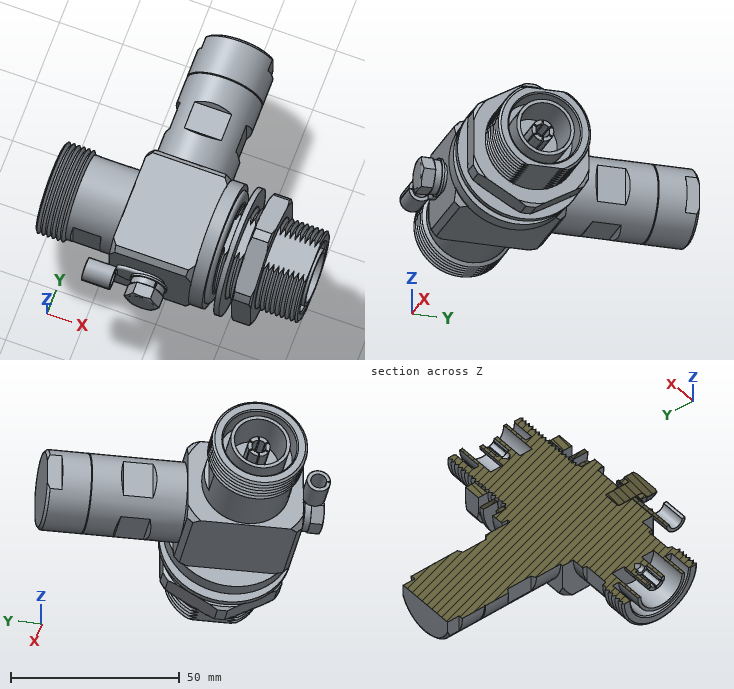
import cadquery as cq
import math


BLOCK_X_MIN = -13.0
BLOCK_X_MAX = 12.85
BLOCK_HALF_Y = 17.3
BLOCK_HALF_Z = 13.8
BLOCK_EDGE_CHAMFER = 1.7
BLOCK_TURNED_RADIUS = 19.35
FLANGE_RADIUS = 19.5
FLANGE_X_MAX = 17.15

THREAD_RADIUS = 14.4
THREAD_ROOT_RADIUS = 13.3
TEN_THREAD_LENGTH = 15.6
THREAD_PITCH = TEN_THREAD_LENGTH / 10
END_TO_CREST = 0.5

LEFT_RIM_X = -37.4
RIGHT_RIM_X = 45.0
TUBE_PROJECTION = 0.55
TUBE_RADIUS = 8.95
TUBE_BORE_RADIUS = 7.85
TUBE_BORE_DEPTH = 12.7
SOCKET_RADIUS = 11.15
SOCKET_MOUTH_CHAMFER = 0.4
SOCKET_DEPTH = 8.45
PIN_RADIUS = 3.4
PIN_RECESS = 2.0
PIN_BORE_RADIUS = 2.1
PIN_BORE_DEPTH = 6.8
PIN_PILOT_RADIUS = 1.3
PIN_PILOT_DEPTH = 1.7
PIN_SLOTS = 6
PIN_SLOT_WIDTH = 0.4
LEFT_CREST_COUNT = 6
RIGHT_CREST_COUNT = 17
LEFT_FLAT_X_MIN = -26.4
LEFT_FLAT_X_MAX = -17.7
LEFT_FLAT_DISTANCE = 11.9
LEFT_FLAT_RUNOUTS = (0.4, 0.25)
RIGHT_FLAT_DISTANCE = 12.4

ARM_RADIUS = 12.0
ARM_END_Y = 59.2
ARM_END_CHAMFER = 0.85
ARM_FLAT_DISTANCE = 10.5
ARM_FLAT_Y_MIN = 27.5
ARM_FLAT_Y_MAX = 36.25
ARM_FLAT_RUNOUTS = (0.9, 0.9)
ARM_END_FLAT_Y = 54.8
ARM_GROOVE_Y = 46.05
ARM_GROOVE_WIDTH = 0.25
ARM_GROOVE_DEPTH = 0.25

GASKET_X_MAX = 18.4
GASKET_RADIUS = 17.75
GASKET_FILLET = 1.2
PANEL_WASHER_X_MIN = 20.95
PANEL_WASHER_X_MAX = 22.6
PANEL_WASHER_DIAMETER = 40.0
PANEL_WASHER_CLEARANCE = 0.2
NUT_X_MIN = 25.8
NUT_X_MAX = 31.85
NUT_ACROSS_FLATS = 35.8
NUT_CORNER_RADIUS = 19.85
NUT_CHAMFER_LENGTH = 0.5
NUT_CHAMFER_HEIGHT = 1.1

LUG_THICKNESS = 1.2
LUG_EDGE_FILLET = 0.55
LUG_EYE_RADIUS = 4.5
LUG_TAPER_X = -6.9
LUG_TAPER_HALF_WIDTH = 4.0
LUG_NECK_HALF_WIDTH = 2.5
LUG_ARC_MID_X = -8.9
LUG_ARC_MID_HALF_WIDTH = 3.5
LUG_GUSSET_SIZE = 0.6
LUG_GUSSET_HALF_WIDTH = 1.7
BARREL_RADIUS = 3.55
BARREL_BORE_RADIUS = 2.4
BARREL_X_MIN = -19.2
BARREL_X_MAX = -10.5
BARREL_SEAM_WIDTH = 0.25
FLAT_WASHER_RADIUS = 5.75
FLAT_WASHER_THICKNESS = 0.7
SPRING_WASHER_RADIUS = 5.2
SPRING_WASHER_THICKNESS = 2.0
SPRING_SPLIT_X = 2.6
SPRING_SPLIT_WIDTH = 0.4
BOLT_ACROSS_FLATS = 9.6
BOLT_FACE_RADIUS = 4.2
BOLT_CHAMFER_HEIGHT = 0.4
BOLT_END_Y = -25.3
BOLT_SHANK_RADIUS = 2.95
BOLT_SHANK_DEPTH = 5.1

BLOCK_FACE_Y = -BLOCK_HALF_Y
LUG_FACE_Y = BLOCK_FACE_Y - LUG_THICKNESS
FLAT_WASHER_FACE_Y = LUG_FACE_Y - FLAT_WASHER_THICKNESS
BOLT_HEAD_Y = FLAT_WASHER_FACE_Y - SPRING_WASHER_THICKNESS


def x_cylinder(radius, x_from, x_to):
    """Cylinder on the X axis."""
    return cq.Workplane("YZ", origin=(x_from, 0, 0)).circle(radius).extrude(x_to - x_from)


def y_cylinder(radius, y_from, y_to):
    """Cylinder on the Y axis."""
    return cq.Workplane("XZ", origin=(0, y_from, 0)).circle(radius).extrude(y_from - y_to)


def box_between(low, high):
    """Box between two opposite corners."""
    size = [b - a for a, b in zip(low, high)]
    return cq.Workplane("XY").box(*size, centered=False).translate(low)


def revolve_about_x(profile):
    """Solid of revolution about X from (x, radius) points."""
    return cq.Workplane("XY").polyline(profile).close().revolve(360, (0, 0, 0), (1, 0, 0))


def thread_groove(x_mid):
    """Ring that cuts one V-shaped thread groove, with x_mid at its middle."""
    half_pitch = THREAD_PITCH / 2
    beyond = THREAD_RADIUS + THREAD_PITCH
    return revolve_about_x([
        (x_mid, THREAD_ROOT_RADIUS),
        (x_mid + half_pitch, THREAD_RADIUS),
        (x_mid + half_pitch, beyond),
        (x_mid - half_pitch, beyond),
        (x_mid - half_pitch, THREAD_RADIUS),
    ])


def cut_thread(body, rim_x, inward, crest_count, x_min, x_max):
    """Cut the grooves on both sides of every crest, inward from the rim, between two X limits."""
    first_groove = rim_x + inward * (END_TO_CREST - THREAD_PITCH / 2)
    span = x_cylinder(THREAD_RADIUS + 2 * THREAD_PITCH, x_min, x_max)
    for index in range(crest_count + 1):
        groove = thread_groove(first_groove + inward * index * THREAD_PITCH)
        body = body.cut(groove.intersect(span))
    return body


def cut_wrench_flat(body, axis_plane, start, end, distance, runouts, radius, turn_axis, turns):
    """Cut flats at a distance from an axis, with sloping ends that reach the surface."""
    reach = 2 * radius
    start_slope, end_slope = [runout / (radius - distance) for runout in runouts]
    rise = reach - distance
    profile = [
        (start, distance),
        (end, distance),
        (end + end_slope * rise, reach),
        (start - start_slope * rise, reach),
    ]
    cutter = cq.Workplane(axis_plane).polyline(profile).close().extrude(radius, both=True)
    for angle in turns:
        body = body.cut(cutter.rotate((0, 0, 0), turn_axis, angle))
    return body


def block():
    """Centre block with chamfered long edges and turned corners."""
    body = box_between(
        (BLOCK_X_MIN, -BLOCK_HALF_Y, -BLOCK_HALF_Z),
        (BLOCK_X_MAX, BLOCK_HALF_Y, BLOCK_HALF_Z),
    )
    body = body.edges("|X").chamfer(BLOCK_EDGE_CHAMFER)
    half_length = (BLOCK_X_MAX - BLOCK_X_MIN) / 2
    envelope = revolve_about_x([
        (BLOCK_X_MIN, 0),
        (BLOCK_X_MIN, BLOCK_TURNED_RADIUS),
        (BLOCK_X_MIN + half_length, BLOCK_TURNED_RADIUS + half_length),
        (BLOCK_X_MAX, BLOCK_TURNED_RADIUS),
        (BLOCK_X_MAX, 0),
    ])
    return body.intersect(envelope)


def left_socket_shell():
    """Threaded end and wrench-flatted neck on the -X side."""
    thread_end = LEFT_RIM_X + END_TO_CREST + (LEFT_CREST_COUNT - 0.5) * THREAD_PITCH
    body = x_cylinder(THREAD_RADIUS, LEFT_RIM_X, thread_end)
    body = cut_thread(body, LEFT_RIM_X, 1, LEFT_CREST_COUNT, LEFT_RIM_X, thread_end)
    neck = x_cylinder(THREAD_ROOT_RADIUS, thread_end, BLOCK_X_MIN)
    neck = cut_wrench_flat(
        neck, "XY", LEFT_FLAT_X_MIN, LEFT_FLAT_X_MAX, LEFT_FLAT_DISTANCE, LEFT_FLAT_RUNOUTS,
        THREAD_ROOT_RADIUS, (1, 0, 0), (0, 180),
    )
    return body.union(neck)


def right_socket_shell():
    """Long threaded end on the +X side, with a plain collar under the gasket."""
    body = x_cylinder(THREAD_RADIUS, FLANGE_X_MAX, RIGHT_RIM_X)
    body = cut_thread(body, RIGHT_RIM_X, -1, RIGHT_CREST_COUNT, GASKET_X_MAX, RIGHT_RIM_X)
    slab = box_between(
        (GASKET_X_MAX, -THREAD_RADIUS, -RIGHT_FLAT_DISTANCE),
        (RIGHT_RIM_X, THREAD_RADIUS, RIGHT_FLAT_DISTANCE),
    )
    collar = x_cylinder(THREAD_RADIUS, FLANGE_X_MAX, GASKET_X_MAX)
    return body.intersect(slab).union(collar)


def side_arm():
    """Round arm along +Y with four wrench flats, a groove and two end flats."""
    body = y_cylinder(ARM_RADIUS, BLOCK_HALF_Y, ARM_END_Y)
    body = body.faces(">Y").edges().chamfer(ARM_END_CHAMFER)
    body = cut_wrench_flat(
        body, "YZ", ARM_FLAT_Y_MIN, ARM_FLAT_Y_MAX, ARM_FLAT_DISTANCE, ARM_FLAT_RUNOUTS,
        ARM_RADIUS, (0, 1, 0), (0, 90, 180, 270),
    )
    groove_start = ARM_GROOVE_Y - ARM_GROOVE_WIDTH / 2
    groove_end = ARM_GROOVE_Y + ARM_GROOVE_WIDTH / 2
    groove = y_cylinder(ARM_RADIUS, groove_start, groove_end)
    groove = groove.cut(y_cylinder(ARM_RADIUS - ARM_GROOVE_DEPTH, groove_start, groove_end))
    body = body.cut(groove)
    for side in (-1, 1):
        x_near, x_far = sorted((side * ARM_FLAT_DISTANCE, side * 2 * ARM_RADIUS))
        body = body.cut(box_between(
            (x_near, ARM_END_FLAT_Y, -ARM_RADIUS),
            (x_far, ARM_END_Y, ARM_RADIUS),
        ))
    return body


def open_socket(body, rim_x, inward):
    """Hollow a socket around its inner tube and slotted centre contact."""
    def station(depth):
        return rim_x + inward * depth

    chamfer = SOCKET_MOUTH_CHAMFER
    annulus = revolve_about_x([
        (station(0), TUBE_RADIUS),
        (station(0), SOCKET_RADIUS + chamfer),
        (station(chamfer), SOCKET_RADIUS),
        (station(SOCKET_DEPTH), SOCKET_RADIUS),
        (station(SOCKET_DEPTH), TUBE_RADIUS),
    ])
    tube_tip = revolve_about_x([
        (station(0), 0),
        (station(0), TUBE_RADIUS),
        (station(-TUBE_PROJECTION), TUBE_RADIUS),
        (station(-TUBE_PROJECTION), 0),
    ])
    bore = revolve_about_x([
        (station(-TUBE_PROJECTION), 0),
        (station(-TUBE_PROJECTION), TUBE_BORE_RADIUS),
        (station(TUBE_BORE_DEPTH), TUBE_BORE_RADIUS),
        (station(TUBE_BORE_DEPTH), 0),
    ])
    bore_end = PIN_RECESS + PIN_BORE_DEPTH
    pilot_end = bore_end + PIN_PILOT_DEPTH
    pin = revolve_about_x([
        (station(PIN_RECESS), PIN_BORE_RADIUS),
        (station(PIN_RECESS), PIN_RADIUS),
        (station(TUBE_BORE_DEPTH), PIN_RADIUS),
        (station(TUBE_BORE_DEPTH), 0),
        (station(pilot_end + PIN_PILOT_RADIUS), 0),
        (station(pilot_end), PIN_PILOT_RADIUS),
        (station(bore_end), PIN_PILOT_RADIUS),
        (station(bore_end), PIN_BORE_RADIUS),
    ])
    x_low, x_high = sorted((station(PIN_RECESS), station(bore_end)))
    slot = box_between(
        (x_low, -PIN_SLOT_WIDTH / 2, 0),
        (x_high, PIN_SLOT_WIDTH / 2, PIN_RADIUS + PIN_SLOT_WIDTH),
    )
    for index in range(PIN_SLOTS):
        pin = pin.cut(slot.rotate((0, 0, 0), (1, 0, 0), index * 360 / PIN_SLOTS))
    return body.cut(annulus).union(tube_tip).cut(bore).union(pin)


def make_housing():
    flange = x_cylinder(FLANGE_RADIUS, BLOCK_X_MAX, FLANGE_X_MAX)
    body = block().union(flange).union(left_socket_shell()).union(right_socket_shell())
    body = body.union(side_arm())
    body = open_socket(body, LEFT_RIM_X, 1)
    body = open_socket(body, RIGHT_RIM_X, -1)
    return body.cut(y_cylinder(BOLT_SHANK_RADIUS, BLOCK_FACE_Y, BLOCK_FACE_Y + BOLT_SHANK_DEPTH))


def make_gasket():
    body = x_cylinder(GASKET_RADIUS, FLANGE_X_MAX, GASKET_X_MAX)
    body = body.faces(">X").edges().fillet(GASKET_FILLET)
    return body.cut(x_cylinder(THREAD_RADIUS, FLANGE_X_MAX, GASKET_X_MAX))


def make_panel_washer():
    body = x_cylinder(PANEL_WASHER_DIAMETER / 2, PANEL_WASHER_X_MIN, PANEL_WASHER_X_MAX)
    bore_radius = THREAD_RADIUS + PANEL_WASHER_CLEARANCE
    return body.cut(x_cylinder(bore_radius, PANEL_WASHER_X_MIN, PANEL_WASHER_X_MAX))


def make_nut():
    """Hexagon nut with two flats facing +Y and -Y and turned corners."""
    corner_diameter = NUT_ACROSS_FLATS / math.cos(math.pi / 6)
    hexagon = cq.Workplane("YZ", origin=(NUT_X_MIN, 0, 0)).polygon(6, corner_diameter)
    hexagon = hexagon.extrude(NUT_X_MAX - NUT_X_MIN).rotate((0, 0, 0), (1, 0, 0), 30)
    face_radius = NUT_CORNER_RADIUS - NUT_CHAMFER_HEIGHT
    envelope = revolve_about_x([
        (NUT_X_MIN, 0),
        (NUT_X_MIN, face_radius),
        (NUT_X_MIN + NUT_CHAMFER_LENGTH, NUT_CORNER_RADIUS),
        (NUT_X_MAX - NUT_CHAMFER_LENGTH, NUT_CORNER_RADIUS),
        (NUT_X_MAX, face_radius),
        (NUT_X_MAX, 0),
    ])
    return hexagon.intersect(envelope).cut(x_cylinder(THREAD_RADIUS, NUT_X_MIN, NUT_X_MAX))


def make_lug():
    """Tapered eye plate with a crimp barrel that has an open seam on its -Y side."""
    plate = (
        cq.Workplane("XZ", origin=(0, BLOCK_FACE_Y, 0))
        .moveTo(BARREL_X_MAX, -LUG_NECK_HALF_WIDTH)
        .threePointArc(
            (LUG_ARC_MID_X, -LUG_ARC_MID_HALF_WIDTH), (LUG_TAPER_X, -LUG_TAPER_HALF_WIDTH)
        )
        .lineTo(0, -LUG_EYE_RADIUS)
        .threePointArc((LUG_EYE_RADIUS, 0), (0, LUG_EYE_RADIUS))
        .lineTo(LUG_TAPER_X, LUG_TAPER_HALF_WIDTH)
        .threePointArc(
            (LUG_ARC_MID_X, LUG_ARC_MID_HALF_WIDTH), (BARREL_X_MAX, LUG_NECK_HALF_WIDTH)
        )
        .close()
        .extrude(LUG_THICKNESS)
    )
    plate = plate.faces("<Y").edges("not (<X)").fillet(LUG_EDGE_FILLET)
    plate = plate.cut(y_cylinder(BOLT_SHANK_RADIUS, LUG_FACE_Y, BLOCK_FACE_Y))

    barrel_y = BLOCK_FACE_Y - BARREL_RADIUS
    barrel = cq.Workplane("YZ", origin=(BARREL_X_MIN, barrel_y, 0))
    barrel = barrel.circle(BARREL_RADIUS).circle(BARREL_BORE_RADIUS)
    barrel = barrel.extrude(BARREL_X_MAX - BARREL_X_MIN)
    barrel = barrel.cut(box_between(
        (BARREL_X_MIN, barrel_y - BARREL_RADIUS, -BARREL_SEAM_WIDTH / 2),
        (BARREL_X_MAX, barrel_y, BARREL_SEAM_WIDTH / 2),
    ))

    gusset = (
        cq.Workplane("XY")
        .polyline([
            (BARREL_X_MAX, LUG_FACE_Y),
            (BARREL_X_MAX + LUG_GUSSET_SIZE, LUG_FACE_Y),
            (BARREL_X_MAX, LUG_FACE_Y - LUG_GUSSET_SIZE),
        ])
        .close()
        .extrude(LUG_GUSSET_HALF_WIDTH, both=True)
    )
    return barrel.union(plate).union(gusset)


def make_flat_washer():
    body = y_cylinder(FLAT_WASHER_RADIUS, LUG_FACE_Y, FLAT_WASHER_FACE_Y)
    return body.cut(y_cylinder(BOLT_SHANK_RADIUS, LUG_FACE_Y, FLAT_WASHER_FACE_Y))


def make_spring_washer():
    """Ring with a narrow split on its +Z side."""
    body = y_cylinder(SPRING_WASHER_RADIUS, FLAT_WASHER_FACE_Y, BOLT_HEAD_Y)
    body = body.cut(y_cylinder(BOLT_SHANK_RADIUS, FLAT_WASHER_FACE_Y, BOLT_HEAD_Y))
    return body.cut(box_between(
        (SPRING_SPLIT_X - SPRING_SPLIT_WIDTH / 2, BOLT_HEAD_Y, 0),
        (SPRING_SPLIT_X + SPRING_SPLIT_WIDTH / 2, FLAT_WASHER_FACE_Y, SPRING_WASHER_RADIUS),
    ))


def make_bolt():
    """Hexagon bolt with corners on +X and -X and a chamfered head."""
    corner_radius = BOLT_ACROSS_FLATS / 2 / math.cos(math.pi / 6)
    head = cq.Workplane("XZ", origin=(0, BOLT_HEAD_Y, 0)).polygon(6, 2 * corner_radius)
    head = head.extrude(BOLT_HEAD_Y - BOLT_END_Y)
    envelope = (
        cq.Workplane("XY")
        .polyline([
            (0, BOLT_HEAD_Y),
            (corner_radius, BOLT_HEAD_Y),
            (corner_radius, BOLT_END_Y + BOLT_CHAMFER_HEIGHT),
            (BOLT_FACE_RADIUS, BOLT_END_Y),
            (0, BOLT_END_Y),
        ])
        .close()
        .revolve(360, (0, 0, 0), (0, 1, 0))
    )
    shank = y_cylinder(BOLT_SHANK_RADIUS, BOLT_HEAD_Y, BLOCK_FACE_Y + BOLT_SHANK_DEPTH)
    return head.intersect(envelope).union(shank)


housing = make_housing()
gasket = make_gasket()
panel_washer = make_panel_washer()
nut = make_nut()
lug = make_lug()
flat_washer = make_flat_washer()
spring_washer = make_spring_washer()
bolt = make_bolt()

result = cq.Compound.makeCompound([
    housing.val(),
    gasket.val(),
    panel_washer.val(),
    nut.val(),
    lug.val(),
    flat_washer.val(),
    spring_washer.val(),
    bolt.val(),
])